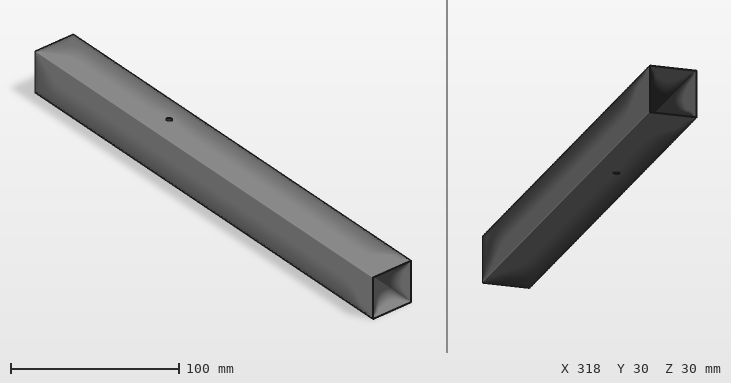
import cadquery as cq

LENGTH = 318.0
SIDE = 30.0
WALL = 0.65
OUTER_CORNER_RADIUS = 1.0
INNER_CORNER_RADIUS = OUTER_CORNER_RADIUS - WALL

HOLE_DIAMETER = 4.0
HOLE_FROM_LEFT_END = 108.0
HOLE_X = HOLE_FROM_LEFT_END - LENGTH / 2


def rounded_square_bar(side, corner_radius):
    """Full-length square bar along X with its four long edges rounded."""
    return cq.Workplane("XY").box(LENGTH, side, side).edges("|X").fillet(corner_radius)


def square_tube():
    """Open-ended tube of even wall thickness."""
    outside = rounded_square_bar(SIDE, OUTER_CORNER_RADIUS)
    bore = rounded_square_bar(SIDE - 2 * WALL, INNER_CORNER_RADIUS)
    return outside.cut(bore)


def cross_hole():
    """Vertical cutter as tall as the tube, on its centre plane."""
    return cq.Workplane("XY").center(HOLE_X, 0).circle(HOLE_DIAMETER / 2).extrude(SIDE / 2, both=True)


result = square_tube().cut(cross_hole())